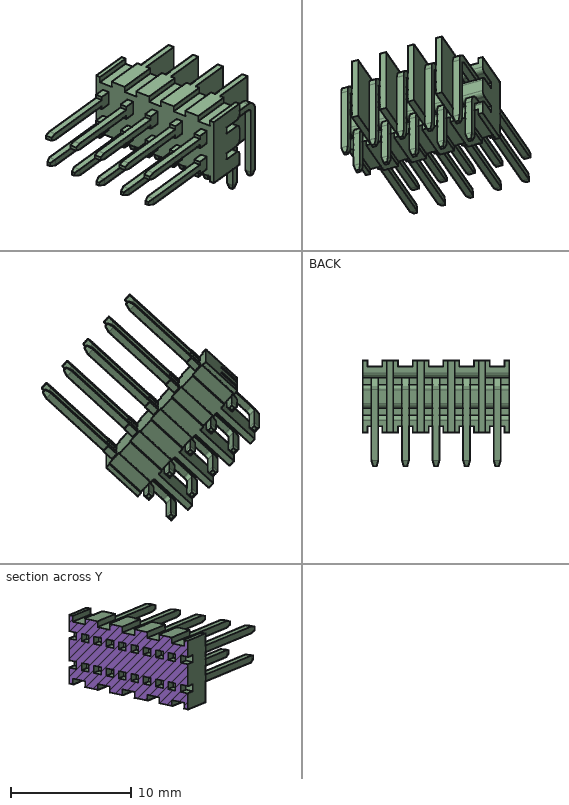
import cadquery as cq
import math


columns = 5
pitch = 2.54
pin_size = 0.6

housing_length = 12.17
housing_depth = 7.41
housing_height = 6.0
wall_depth = 3.58
notch_width = 1.2
notch_depth = 0.5
rib_width = 0.55

slot_front = 1.8
slot_flare = 0.4

overall_depth = 15.38
overall_height = 8.8
front_reach = overall_depth - housing_depth
tail_reach = overall_height - housing_height
shoulder_length = 0.97
shoulder_height = 2 * pin_size
outer_bend_radius = 0.98
tail_spacing_from_back = 0.98
tip_length = 0.5
tip_size = 0.3

upper_row_z = (housing_height + pitch) / 2
lower_row_z = (housing_height - pitch) / 2
upper_tail_y = housing_depth - tail_spacing_from_back
lower_tail_y = upper_tail_y - pitch
column_positions = [(i - (columns - 1) / 2) * pitch for i in range(columns)]
rib_positions = [x + pitch / 2 for x in column_positions[:-1]]

arc_mid_share = 1 - math.sqrt(0.5)


def box(x_center, x_size, y_start, y_end, z_start, z_end):
    """Box centred on x_center in X, between the given Y and Z limits."""
    size = (x_size, y_end - y_start, z_end - z_start)
    corner = (x_center - x_size / 2, y_start, z_start)
    return cq.Workplane("XY").box(*size, centered=False).translate(corner)


def slot(row_z):
    """Slot along the whole row, open at the back of the wall through rounded lips."""
    half = pin_size / 2
    mouth = half + slot_flare
    lip_start = wall_depth - slot_flare
    lip_mid = slot_flare * arc_mid_share
    return (
        cq.Workplane("YZ")
        .moveTo(slot_front, row_z - half)
        .lineTo(lip_start, row_z - half)
        .threePointArc((wall_depth - lip_mid, row_z - half - lip_mid), (wall_depth, row_z - mouth))
        .lineTo(wall_depth, row_z + mouth)
        .threePointArc((wall_depth - lip_mid, row_z + half + lip_mid), (lip_start, row_z + half))
        .lineTo(slot_front, row_z + half)
        .close()
        .extrude(housing_length / 2, both=True)
    )


def make_housing():
    """Wall with slots and notches, and ribs that separate the columns."""
    housing = box(0, housing_length, 0, wall_depth, 0, housing_height)
    for row_z in (lower_row_z, upper_row_z):
        housing = housing.cut(slot(row_z))
    for x in rib_positions:
        housing = housing.union(box(x, rib_width, slot_front, housing_depth, 0, housing_height))
    for x in column_positions:
        housing = housing.cut(box(x, notch_width, 0, wall_depth, 0, notch_depth))
        top_notch_floor = housing_height - notch_depth
        housing = housing.cut(box(x, notch_width, 0, wall_depth, top_notch_floor, housing_height))
    return housing


def tapered_tip(plane, end_width):
    """Tip that tapers from the square pin section along the plane normal."""
    return (
        cq.Workplane(plane)
        .rect(pin_size, pin_size)
        .workplane(offset=tip_length)
        .rect(end_width, tip_size)
        .loft(ruled=True)
    )


def make_pin(row_z, tail_y, front_tip_width):
    """Bent square pin at X = 0 with a shoulder in front of the housing and tapered ends."""
    half = pin_size / 2
    tip_start_y = tip_length - front_reach
    tip_start_z = tip_length - tail_reach
    bend_radius = outer_bend_radius - half
    bend_mid = bend_radius * arc_mid_share

    path = (
        cq.Workplane("YZ")
        .moveTo(tip_start_y, row_z)
        .lineTo(tail_y - bend_radius, row_z)
        .threePointArc((tail_y - bend_mid, row_z - bend_mid), (tail_y, row_z - bend_radius))
        .lineTo(tail_y, tip_start_z)
    )
    front_plane = cq.Plane(origin=(0, tip_start_y, row_z), xDir=(1, 0, 0), normal=(0, -1, 0))
    tail_plane = cq.Plane(origin=(0, tail_y, tip_start_z), xDir=(1, 0, 0), normal=(0, 0, -1))

    pin = cq.Workplane(front_plane).rect(pin_size, pin_size).sweep(path)
    pin = pin.union(tapered_tip(front_plane, front_tip_width))
    pin = pin.union(tapered_tip(tail_plane, tip_size))
    half_shoulder = shoulder_height / 2
    shoulder = box(0, pin_size, -shoulder_length, 0, row_z - half_shoulder, row_z + half_shoulder)
    return pin.union(shoulder)


upper_pin = make_pin(upper_row_z, upper_tail_y, pin_size)
lower_pin = make_pin(lower_row_z, lower_tail_y, tip_size)

result = make_housing()
for x in column_positions:
    for pin in (upper_pin, lower_pin):
        result = result.union(pin.translate((x, 0, 0)))